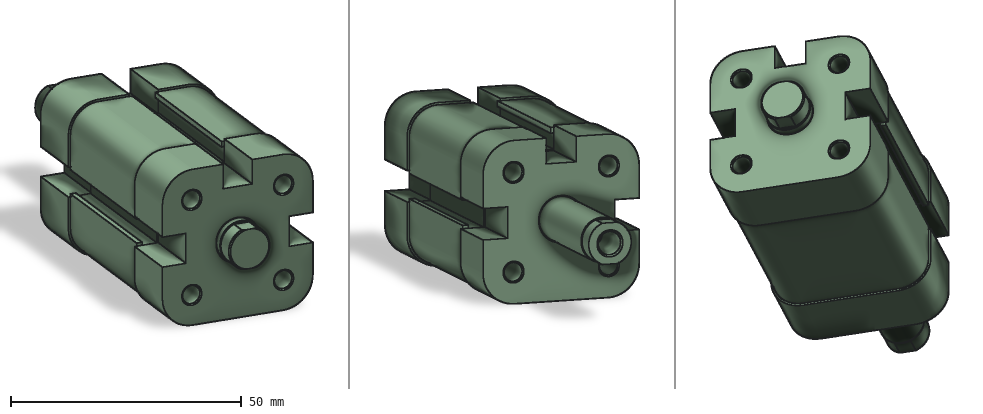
import cadquery as cq
import math


rod_length = 99.0
rod_diameter = 10.0
tip_length = 4.6
tip_diameter = 9.8
tip_shoulder = 0.3
flat_length = 4.2
flat_width = 9.1
rear_chamfer = 0.3
rod_bore_diameter = 5.1
rod_bore_depth = 11.9
rod_bore_chamfer = 0.4
drill_point_angle = 118.0

cover_size = 36.0
cover_corner_radius = 7.2
front_cover_start = 30.8
cover_length = 14.2
slot_width = 6.9
cover_slot_depth = 5.6
rod_hole_chamfer = 0.2

barrel_length = 33.8
barrel_inset = 0.5
barrel_floor_rise = 0.3
lip_opening = 5.5
lip_height = 1.3

screw_spacing = 22.0
screw_diameter = 4.2
screw_chamfer = 0.3

barrel_start = front_cover_start + cover_length
rear_cover_start = barrel_start + barrel_length
slot_turns = (-90, 0, 90)


def section(x):
    """Plane across the rod axis at x, with local x along Y and local y along Z."""
    return cq.Workplane("YZ", origin=(x, 0, 0))


def rounded_block(start, length, size, radius):
    block = section(start).rect(size, size).extrude(length)
    return block.edges("|X").fillet(radius)


def slot_cutter(start, length, width, bottom, top):
    """Slot block on the +Z side between two heights."""
    middle = (bottom + top) / 2
    return section(start).center(0, middle).rect(width, top - bottom).extrude(length)


def cut_on_slotted_sides(body, cutter):
    for turn in slot_turns:
        body = body.cut(cutter.rotate((0, 0, 0), (1, 0, 0), turn))
    return body


def cut_screw_and_rod_holes(body, start, length):
    screws = section(start).rect(screw_spacing, screw_spacing, forConstruction=True).vertices()
    rod_hole = section(start).circle(rod_diameter / 2).extrude(length)
    return body.cut(screws.circle(screw_diameter / 2).extrude(length)).cut(rod_hole)


def chamfer_hole_rims(body, face, diameter, chamfer):
    """Chamfer the rims of all holes of one diameter on a face."""
    rims = body.faces(face).edges("%CIRCLE")
    return rims.filter(lambda rim: math.isclose(rim.radius(), diameter / 2)).chamfer(chamfer)


def make_cover(start, outer_face):
    cover = rounded_block(start, cover_length, cover_size, cover_corner_radius)
    top = cover_size / 2
    cutter = slot_cutter(start, cover_length, slot_width, top - cover_slot_depth, top)
    cover = cut_on_slotted_sides(cover, cutter)
    cover = cut_screw_and_rod_holes(cover, start, cover_length)
    cover = chamfer_hole_rims(cover, outer_face, screw_diameter, screw_chamfer)
    return chamfer_hole_rims(cover, outer_face, rod_diameter, rod_hole_chamfer)


def make_barrel():
    barrel_size = cover_size - 2 * barrel_inset
    barrel = rounded_block(barrel_start, barrel_length, barrel_size, cover_corner_radius - barrel_inset)
    top = barrel_size / 2
    floor = cover_size / 2 - cover_slot_depth + barrel_floor_rise
    opening = slot_cutter(barrel_start, barrel_length, lip_opening, floor, top)
    channel = slot_cutter(barrel_start, barrel_length, slot_width, floor, top - lip_height)
    barrel = cut_on_slotted_sides(barrel, opening.union(channel))
    return cut_screw_and_rod_holes(barrel, barrel_start, barrel_length)


def make_rod():
    tip_radius = tip_diameter / 2
    rod_radius = rod_diameter / 2
    outline = [
        (0, 0),
        (0, tip_radius),
        (tip_length - tip_shoulder, tip_radius),
        (tip_length, rod_radius),
        (rod_length - tip_length, rod_radius),
        (rod_length - tip_length + tip_shoulder, tip_radius),
        (rod_length - rear_chamfer, tip_radius),
        (rod_length, tip_radius - rear_chamfer),
        (rod_length, 0),
    ]
    rod = cq.Workplane("XY").polyline(outline).close().revolve(360, (0, 0, 0), (1, 0, 0))
    return cut_rod_bore(cut_wrench_flats(rod))


def cut_wrench_flats(rod):
    """Two flats facing +Z and -Z on each end of the rod."""
    for start in (0, rod_length - flat_length):
        envelope = section(start).circle(rod_diameter).extrude(flat_length)
        core = section(start).rect(2 * rod_diameter, flat_width).extrude(flat_length)
        rod = rod.cut(envelope.cut(core))
    return rod


def cut_rod_bore(rod):
    """Chamfered blind bore with a drill point in the front end of the rod."""
    bore_radius = rod_bore_diameter / 2
    point_length = bore_radius / math.tan(math.radians(drill_point_angle / 2))
    outline = [
        (0, 0),
        (0, bore_radius + rod_bore_chamfer),
        (rod_bore_chamfer, bore_radius),
        (rod_bore_depth, bore_radius),
        (rod_bore_depth + point_length, 0),
    ]
    return rod.cut(cq.Workplane("XY").polyline(outline).close().revolve(360, (0, 0, 0), (1, 0, 0)))


front_cover = make_cover(front_cover_start, "<X")
rear_cover = make_cover(rear_cover_start, ">X")
barrel = make_barrel()
rod = make_rod()

result = cq.Compound.makeCompound([front_cover.val(), barrel.val(), rear_cover.val(), rod.val()])